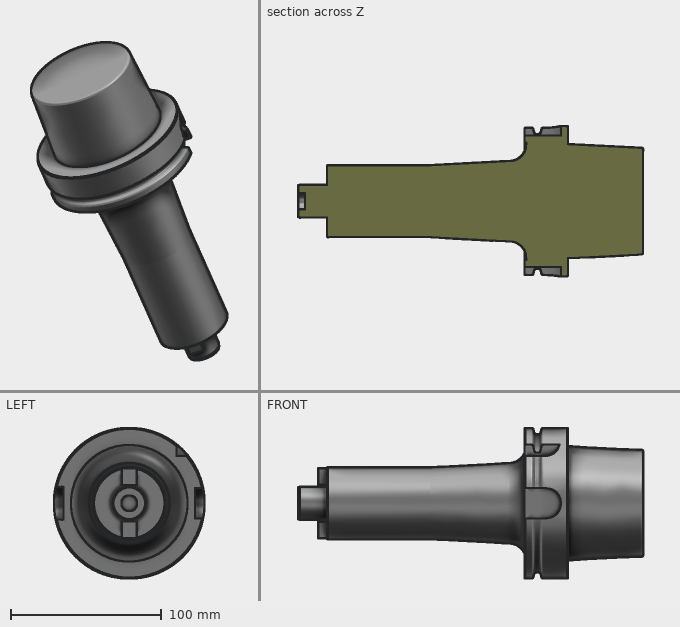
import cadquery as cq
import math

total_length = 229
body_face_x = 19.0
cone_start_x = 88.0
cone_end_x = 139.0
neck_end_x = 140.1
flange_front_x = 150.0
flange_back_x = 179.0

spigot_radius = 22.0 / 2
spigot_chamfer_length = 1.4
spigot_chamfer_depth = 0.5
bore_diameter = 10.5
bore_depth = 4.5

body_radius = 48 / 2
body_chamfer = 0.7
neck_radius = 53.5 / 2
neck_fillet = 11.0
recess_radius = 38.7

flange_radius = 100.0 / 2
flange_chamfer = 0.7

groove_x = 158.7
groove_depth = 4.1
groove_floor_half_width = 1.8
groove_flank_angle = math.radians(15)
groove_edge_round = 1.5
groove_floor_round = 1.4

shank_start_radius = 38.0
shank_end_radius = 35.5
shank_end_round = 1.8

key_width = 10.0
key_inner_z = 12.1
key_outer_z = 23.4
key_height = 5.7
key_chamfer = 0.35

slot_end_x = 174.3
slot_floor_y = 43.7
front_slot_width = 20.0
slot_corner_radius = front_slot_width / 2
back_slot_width = 21.8
notch_offset = 31.4
notch_end_x = 173.5


def make_turned_body():
    """Revolve the half profile about the X axis."""
    recess_x = neck_end_x + neck_fillet
    arc_center_r = neck_radius + neck_fillet
    arc_mid_x = neck_end_x + neck_fillet * math.sin(math.pi / 4)
    arc_mid_r = arc_center_r - neck_fillet * math.cos(math.pi / 4)
    profile = (
        cq.Workplane("XY")
        .moveTo(0, 0)
        .lineTo(0, spigot_radius - spigot_chamfer_depth)
        .lineTo(spigot_chamfer_length, spigot_radius)
        .lineTo(body_face_x, spigot_radius)
        .lineTo(body_face_x, body_radius - body_chamfer)
        .lineTo(body_face_x + body_chamfer, body_radius)
        .lineTo(cone_start_x, body_radius)
        .lineTo(cone_end_x, neck_radius)
        .lineTo(neck_end_x, neck_radius)
        .threePointArc((arc_mid_x, arc_mid_r), (recess_x, arc_center_r))
        .lineTo(recess_x, recess_radius)
        .lineTo(flange_front_x, recess_radius)
        .lineTo(flange_front_x, flange_radius - flange_chamfer)
        .lineTo(flange_front_x + flange_chamfer, flange_radius)
        .lineTo(flange_back_x - flange_chamfer, flange_radius)
        .lineTo(flange_back_x, flange_radius - flange_chamfer)
        .lineTo(flange_back_x, shank_start_radius)
        .lineTo(total_length, shank_end_radius)
        .lineTo(total_length, 0)
        .close()
    )
    turned = profile.revolve(360, (0, 0, 0), (1, 0, 0))
    return turned.faces(">X").edges().fillet(shank_end_round)


def round_groove_edges(part, radius, half_width, round_radius):
    """Fillet the pair of circles of the given radius at groove_x +- half_width."""
    margin = 0.2
    reach = radius + margin
    near_groove = cq.selectors.BoxSelector(
        (groove_x - half_width - margin, -reach, -reach),
        (groove_x + half_width + margin, reach, reach),
        boundingbox=True,
    )
    largest_circles = cq.selectors.RadiusNthSelector(-1)
    return part.edges(near_groove).edges(largest_circles).fillet(round_radius)


def cut_gripper_groove(part):
    """Turn the groove with steep flanks and a flat floor, then round its edges."""
    floor_radius = flange_radius - groove_depth
    rim_half_width = groove_floor_half_width + groove_depth * math.tan(groove_flank_angle)
    groove = (
        cq.Workplane("XY")
        .moveTo(groove_x - groove_floor_half_width, floor_radius)
        .lineTo(groove_x - rim_half_width, flange_radius)
        .lineTo(groove_x + rim_half_width, flange_radius)
        .lineTo(groove_x + groove_floor_half_width, floor_radius)
        .close()
        .revolve(360, (0, 0, 0), (1, 0, 0))
    )
    part = part.cut(groove)
    part = round_groove_edges(part, flange_radius, rim_half_width, groove_edge_round)
    return round_groove_edges(part, floor_radius, groove_floor_half_width, groove_floor_round)


def make_drive_key(side):
    """Build one key; side is +1 above the spigot and -1 below it."""
    key_depth = key_outer_z - key_inner_z
    key = (
        cq.Workplane("XY")
        .box(key_height + body_chamfer, key_width, key_depth, centered=(False, True, False))
        .edges("(<X and (not <Z)) or (|X and >Z)")
        .chamfer(key_chamfer)
        .translate((body_face_x - key_height, 0, key_inner_z))
    )
    if side < 0:
        key = key.mirror("XY")
    return key


def make_rim_slot(width, side):
    """Build the cutter of a flat-floored slot on the side towards side * Y."""
    half_width = width / 2
    flat_half_width = half_width - slot_corner_radius
    round_start_x = slot_end_x - slot_corner_radius
    corner_reach = slot_corner_radius * math.sin(math.pi / 4)
    corner_mid_x = round_start_x + corner_reach
    corner_mid_z = flat_half_width + corner_reach
    outline = (
        cq.Workplane("XZ")
        .moveTo(flange_front_x, -half_width)
        .lineTo(round_start_x, -half_width)
        .threePointArc((corner_mid_x, -corner_mid_z), (slot_end_x, -flat_half_width))
    )
    if flat_half_width > 0:
        outline = outline.lineTo(slot_end_x, flat_half_width)
    slot = (
        outline.threePointArc((corner_mid_x, corner_mid_z), (round_start_x, half_width))
        .lineTo(flange_front_x, half_width)
        .close()
        .extrude(flange_radius - slot_floor_y)
        .translate((0, -slot_floor_y, 0))
    )
    if side > 0:
        slot = slot.mirror("XZ")
    return slot


def make_index_notch():
    """Build the cutter of the corner notch at 45 degrees between -Y and +Z."""
    length = notch_end_x - flange_front_x
    size = flange_radius - notch_offset
    return (
        cq.Workplane("XY")
        .box(length, size, size, centered=False)
        .edges(">X and <Z")
        .fillet(slot_corner_radius)
        .translate((flange_front_x, -flange_radius, notch_offset))
    )


result = cut_gripper_groove(make_turned_body())
for side in (1, -1):
    result = result.union(make_drive_key(side))
result = result.cut(make_rim_slot(front_slot_width, -1))
result = result.cut(make_rim_slot(back_slot_width, 1))
result = result.cut(make_index_notch())

bore = cq.Workplane("YZ").circle(bore_diameter / 2).extrude(bore_depth)
result = result.cut(bore)